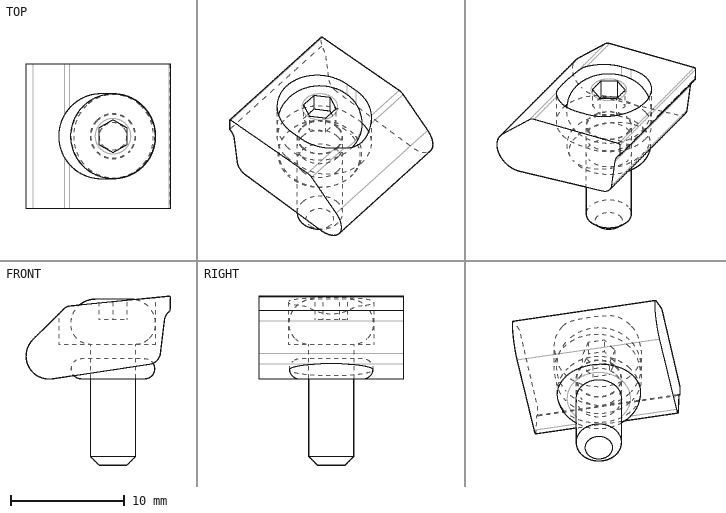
import cadquery as cq
import math


block_width = 12.7
nose_radius = 2.04
nose_x = -5.6
nose_z = 9.6
ramp_angle = math.radians(45)
underside_angle = math.radians(8.6)
apex = (-4.07, 13.97)
apex_radius = 0.77
lip_top = (5.05, 14.87)
lip_radius = 0.13
lip_bottom = (5.02, 13.58)
lip_middle = (4.68, 13.2)
flank_top = (4.52, 12.69)
heel_x = 4.07
heel_radius = 1.1

shank_radius = 1.99
tip_chamfer = 0.79
seat_z = 10.62
rim_z = 12.41
head_radius = 3.72
head_flat_radius = 1.56
head_top_z = 14.6
socket_flats = 2.5
socket_depth = 1.78

pocket_radius = 3.75
pocket_travel = 1.01

washer_bottom_z = 7.58
washer_rim_radius = 0.89
washer_radius = 3.67


def make_washer_blank():
    """Washer outline without its hole; it also shapes the recess in the block."""
    face_radius = washer_radius - washer_rim_radius
    middle_z = washer_bottom_z + washer_rim_radius
    top_z = washer_bottom_z + 2 * washer_rim_radius
    return (
        cq.Workplane("XZ")
        .moveTo(0, washer_bottom_z)
        .lineTo(face_radius, washer_bottom_z)
        .threePointArc((washer_radius, middle_z), (face_radius, top_z))
        .lineTo(0, top_z)
        .close()
        .revolve(360, (0, 0, 0), (0, 1, 0))
    )


def make_shank():
    """Plain shank from the chamfered tip up to the head seat."""
    return cq.Workplane("XY").circle(shank_radius).extrude(seat_z).faces("<Z").chamfer(tip_chamfer)


def make_block_profile():
    """Side profile of the block, extruded across its width."""
    ramp_start = (
        nose_x - nose_radius * math.sin(ramp_angle),
        nose_z + nose_radius * math.cos(ramp_angle),
    )
    underside_start = (
        nose_x + nose_radius * math.sin(underside_angle),
        nose_z - nose_radius * math.cos(underside_angle),
    )
    nose_middle = (nose_x - nose_radius, nose_z)
    heel = (
        heel_x,
        underside_start[1] + (heel_x - underside_start[0]) * math.tan(underside_angle),
    )
    body = (
        cq.Workplane("XZ")
        .moveTo(*ramp_start)
        .lineTo(*apex)
        .lineTo(*lip_top)
        .lineTo(*lip_bottom)
        .threePointArc(lip_middle, flank_top)
        .lineTo(*heel)
        .lineTo(*underside_start)
        .threePointArc(nose_middle, ramp_start)
        .close()
        .extrude(block_width / 2, both=True)
    )
    rounded_corners = ((apex, apex_radius), (lip_top, lip_radius), (heel, heel_radius))
    for corner, radius in rounded_corners:
        edge = cq.selectors.NearestToPointSelector((corner[0], 0, corner[1]))
        body = body.edges(edge).fillet(radius)
    return body


def make_head_pocket():
    """Slot above the head seat, open at the top and through the ramp."""
    return (
        cq.Workplane("XY", origin=(-pocket_travel / 2, 0, seat_z))
        .slot2D(pocket_travel + 2 * pocket_radius, 2 * pocket_radius)
        .extrude(lip_top[1] - seat_z)
    )


def make_block():
    block = make_block_profile()
    block = block.cut(make_head_pocket())
    block = block.cut(make_washer_blank())
    return block.cut(make_shank())


def make_screw():
    """Shank and head: dome above the rim, rounded underside, hexagon socket."""
    dome_radius = head_radius - head_flat_radius
    under_radius = rim_z - seat_z
    under_middle = (
        head_radius - under_radius * (1 - math.cos(math.pi / 4)),
        rim_z - under_radius * math.sin(math.pi / 4),
    )
    dome_middle = (
        head_flat_radius + dome_radius * math.cos(math.pi / 4),
        rim_z + (head_top_z - rim_z) * math.sin(math.pi / 4),
    )
    head = (
        cq.Workplane("XZ")
        .moveTo(0, seat_z)
        .lineTo(head_radius - under_radius, seat_z)
        .threePointArc(under_middle, (head_radius, rim_z))
        .threePointArc(dome_middle, (head_flat_radius, head_top_z))
        .lineTo(0, head_top_z)
        .close()
        .revolve(360, (0, 0, 0), (0, 1, 0))
    )
    socket_corner_diameter = socket_flats / math.cos(math.pi / 6)
    socket = (
        cq.Workplane("XY", origin=(0, 0, head_top_z - socket_depth))
        .transformed(rotate=(0, 0, 90))
        .polygon(6, socket_corner_diameter)
        .extrude(socket_depth)
    )
    return make_shank().union(head).cut(socket)


def make_washer():
    return make_washer_blank().cut(make_shank())


block = make_block()
screw = make_screw()
washer = make_washer()

result = cq.Compound.makeCompound([block.solids().val(), screw.solids().val(), washer.solids().val()])